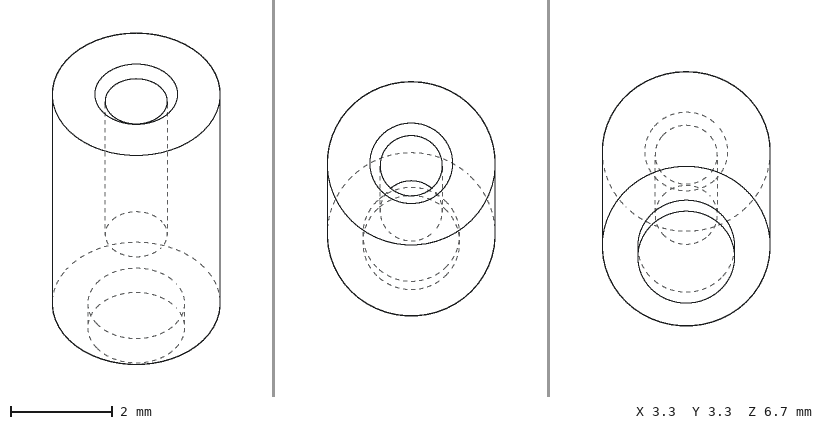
import cadquery as cq
import math

total_height = 6.7
body_diameter = 3.3
pin_diameter = 1.9
pin_height = 0.7

hole_diameter = 1.22
hole_depth = 4.02
drill_point_angle = 118.0
countersink_diameter = 1.63
countersink_angle = 90.0


def cone_height(large_diameter, small_diameter, included_angle):
    """Height of a cone frustum with the given included angle in degrees."""
    radial_step = (large_diameter - small_diameter) / 2
    return radial_step / math.tan(math.radians(included_angle / 2))


def make_body():
    """Cylinder standing on a narrower pin; the pin's end face is at Z = 0."""
    pin = cq.Workplane("XY").circle(pin_diameter / 2).extrude(pin_height)
    barrel = (
        cq.Workplane("XY")
        .workplane(offset=pin_height)
        .circle(body_diameter / 2)
        .extrude(total_height - pin_height)
    )
    return pin.union(barrel)


def make_hole():
    """Countersunk hole with a conical drill point, revolved about Z."""
    countersink_depth = cone_height(countersink_diameter, hole_diameter, countersink_angle)
    hole_floor = total_height - hole_depth
    drill_tip = hole_floor - cone_height(hole_diameter, 0, drill_point_angle)
    return (
        cq.Workplane("XZ")
        .moveTo(0, total_height)
        .lineTo(countersink_diameter / 2, total_height)
        .lineTo(hole_diameter / 2, total_height - countersink_depth)
        .lineTo(hole_diameter / 2, hole_floor)
        .lineTo(0, drill_tip)
        .close()
        .revolve(360, (0, 0, 0), (0, 1, 0))
    )


result = make_body().cut(make_hole())